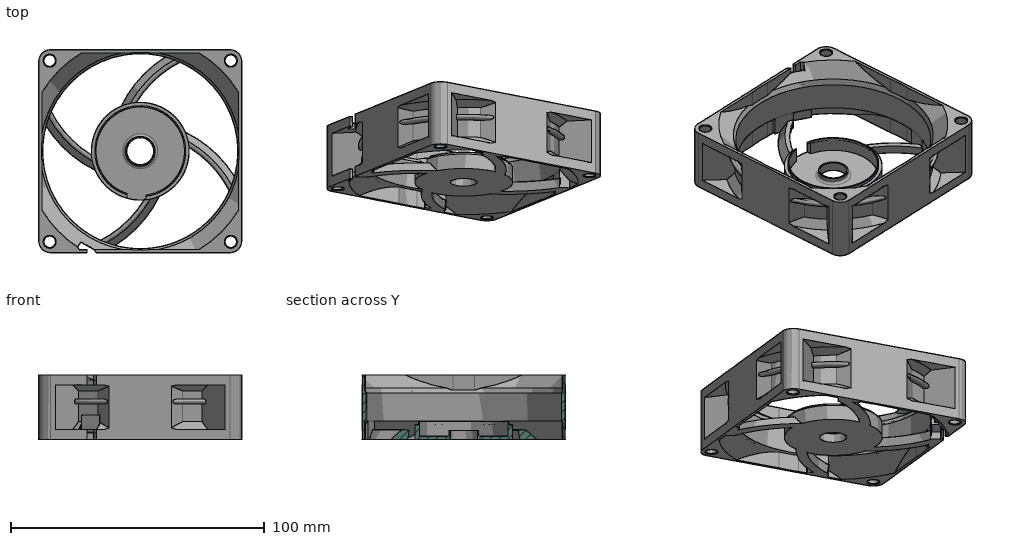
import cadquery as cq
import math

SIDE = 80.0
HEIGHT = 25.5
HALF = SIDE / 2
CORNER_RADIUS = 4.6
SCREW_OFFSET = 35.7
SCREW_RADIUS = 2.2
SCREW_CHAMFER = 0.3

BORE_RADIUS = 38.4
THROAT_RADIUS = 39.4
FLARE_RADIUS = 45.1
TOP_FLARE_DEPTH = 5.1
THROAT_DEPTH = 7.2
BOTTOM_FLARE_HEIGHT = 7.4
SIDE_WALL = 1.3
DUCT_HALF = HALF - SIDE_WALL
WALL_RELIEF_RADIUS = 39.0

FLANGE = 4.0
TUBE_RADIUS = 39.4
TUBE_FLARE_RADIUS = 42.5
TUBE_FLARE_TOP = 6.3
TUBE_FLARE_BOTTOM = 7.0
SIDE_COUNT = 4
POCKET_OUTER = 33.4
POCKET_INNER = 12.3
RIB_RADIUS = 41.5
RIB_THICKNESS = 2.0
RIB_Z = 15.0

HUB_RADIUS = 19.3
HUB_RIM_HEIGHT = 5.9
HUB_FLOOR = 1.4
HUB_BORE_RADIUS = 17.4
HUB_LIP_RADIUS = 17.9
HUB_LIP_HEIGHT = 7.1
HUB_GAP_LEFT = -5.3
HUB_GAP_RIGHT = 2.2
COLLAR_BASE_RADIUS = 6.9
COLLAR_RADIUS = 5.8
COLLAR_HEIGHT = 3.7
SHAFT_RADIUS = 5.3

STRUT_COUNT = 4
STRUT_CENTER_X = 35.0
STRUT_CENTER_Y = -3.0
STRUT_ARC_RADIUS = 44.6
STRUT_RIDGE_Z = 3.8
STRUT_CREST_Z = 4.0
STRUT_OUTER_REACH = 2.7
STRUT_NOSE_REACH = 1.9
STRUT_FOOT_REACH = 1.5
STRUT_NOSE_Z = 3.6
STRUT_START = 100.0
STRUT_SWEEP = 70.0
STRUT_EMBED = 0.3
ROOT_START = 66.0
ROOT_SWEEP = 12.6

SLOT_LEFT = -21.0
SLOT_RIGHT = -17.3
SLOT_BEND_X = -18.3
SLOT_TIP_X = -23.4
SLOT_END_X = -24.6
SLOT_END_Y = -37.6
SLOT_HEEL_X = -24.1
TONGUE = 1.2
SLOT_FACE_DISTANCE = 42.7
SLOT_FACE_ANGLE = -29.5
TAB_DISTANCE = 40.2
TAB_CENTER_X = -19.7
TAB_WIDTH = 8.2
TAB_TOP = 9.6
TAB_SETBACK = 0.4
SHELF_BOTTOM = 3.0


def revolved(points):
    """Solid of revolution about Z from (radius, height) points."""
    return cq.Workplane("XZ").polyline(points).close().revolve(360, (0, 0, 0), (0, 1, 0))


def around_axis(body, count):
    """Copies of a body spaced evenly about Z."""
    pattern = body
    for index in range(1, count):
        pattern = pattern.union(body.rotate((0, 0, 0), (0, 0, 1), 360 / count * index))
    return pattern


def strut_roots():
    """Sectors that stay solid in the bottom flare behind the outer ends of the struts."""
    sector = (
        cq.Workplane("XZ")
        .moveTo(BORE_RADIUS, 0)
        .lineTo(FLARE_RADIUS, 0)
        .lineTo(FLARE_RADIUS, BOTTOM_FLARE_HEIGHT)
        .lineTo(BORE_RADIUS, BOTTOM_FLARE_HEIGHT)
        .close()
        .revolve(ROOT_SWEEP, (0, 0, 0), (0, 1, 0))
        .rotate((0, 0, 0), (0, 0, 1), ROOT_START)
    )
    return around_axis(sector, STRUT_COUNT)


def duct():
    """Air passage, its four flat walls hollowed slightly at mid-length."""
    flared = revolved([
        (0, 0),
        (FLARE_RADIUS, 0),
        (BORE_RADIUS, BOTTOM_FLARE_HEIGHT),
        (BORE_RADIUS, HEIGHT - THROAT_DEPTH),
        (THROAT_RADIUS, HEIGHT - TOP_FLARE_DEPTH),
        (FLARE_RADIUS, HEIGHT),
        (0, HEIGHT),
    ])
    clip = cq.Workplane("XY").box(2 * DUCT_HALF, 2 * DUCT_HALF, HEIGHT, centered=(True, True, False))
    relief = cq.Workplane("XY").circle(WALL_RELIEF_RADIUS).extrude(HEIGHT)
    return flared.intersect(clip.union(relief)).cut(strut_roots())


def tube():
    """Solid envelope that the pockets leave standing around the duct."""
    body = revolved([
        (0, FLANGE),
        (TUBE_FLARE_RADIUS, FLANGE),
        (TUBE_RADIUS, TUBE_FLARE_BOTTOM),
        (TUBE_RADIUS, HEIGHT - TUBE_FLARE_TOP),
        (TUBE_FLARE_RADIUS, HEIGHT - FLANGE),
        (0, HEIGHT - FLANGE),
    ])
    edge = RIB_RADIUS - RIB_THICKNESS / 2
    rib = cq.Workplane("XY").workplane(offset=RIB_Z - RIB_THICKNESS / 2).circle(edge).extrude(RIB_THICKNESS)
    rim = cq.Workplane("XZ").center(edge, RIB_Z).circle(RIB_THICKNESS / 2)
    rim = rim.revolve(360, (-edge, 0, 0), (-edge, 1, 0))
    return body.union(rib).union(rim)


def pockets():
    """Two mirrored triangular pockets in every side, their walls at 45 degrees to it."""
    half_width = (POCKET_OUTER - POCKET_INNER) / 2
    left = (
        cq.Workplane("XY")
        .workplane(offset=FLANGE)
        .polyline([
            (-POCKET_OUTER, -HALF),
            (-POCKET_INNER, -HALF),
            (-POCKET_INNER - half_width, -HALF + half_width),
        ])
        .close()
        .extrude(HEIGHT - 2 * FLANGE)
    )
    pair = left.union(left.mirror("YZ"))
    return around_axis(pair, SIDE_COUNT).cut(tube())


def frame():
    """Square housing with the duct, the side pockets and the corner screw holes."""
    body = cq.Workplane("XY").box(SIDE, SIDE, HEIGHT, centered=(True, True, False))
    body = body.edges("|Z").fillet(CORNER_RADIUS)
    screws = cq.Workplane("XY").rect(2 * SCREW_OFFSET, 2 * SCREW_OFFSET, forConstruction=True).vertices()
    hole = revolved([
        (0, 0),
        (SCREW_RADIUS + SCREW_CHAMFER, 0),
        (SCREW_RADIUS, SCREW_CHAMFER),
        (SCREW_RADIUS, HEIGHT - SCREW_CHAMFER),
        (SCREW_RADIUS + SCREW_CHAMFER, HEIGHT),
        (0, HEIGHT),
    ])
    holes = screws.eachpoint(hole.val(), combine=False)
    return body.cut(duct()).cut(pockets()).cut(holes)


def slot_box(near, far, width, bottom, top):
    """Box turned to face the cable slot, between two distances from the duct axis."""
    angle = math.radians(SLOT_FACE_ANGLE)
    normal = (math.sin(angle), -math.cos(angle))
    slide = (TAB_CENTER_X - TAB_DISTANCE * normal[0]) / math.cos(angle)
    box = cq.Workplane("XY").box(width, far - near, top - bottom, centered=(True, True, False))
    box = box.translate((slide, -(near + far) / 2, bottom))
    return box.rotate((0, 0, 0), (0, 0, 1), SLOT_FACE_ANGLE)


def cable_tab():
    """Flat-faced block against the duct tube, with a shelf in front that closes the flare."""
    near = BORE_RADIUS + TAB_SETBACK
    block = slot_box(near, TAB_DISTANCE, TAB_WIDTH, SHELF_BOTTOM, TAB_TOP)
    shelf = slot_box(near, SLOT_FACE_DISTANCE, TAB_WIDTH, SHELF_BOTTOM, FLANGE)
    return block.union(shelf)


def cable_slot():
    """Hooked slot through both flanges that leaves a thin tongue in the outer wall."""
    angle = math.radians(SLOT_FACE_ANGLE)

    def face_y(x):
        return (x * math.sin(angle) - SLOT_FACE_DISTANCE) / math.cos(angle)

    return (
        cq.Workplane("XY")
        .polyline([
            (SLOT_RIGHT, -HALF),
            (SLOT_BEND_X, face_y(SLOT_BEND_X)),
            (SLOT_TIP_X, face_y(SLOT_TIP_X)),
            (SLOT_END_X, SLOT_END_Y),
            (SLOT_HEEL_X, -HALF + TONGUE),
            (SLOT_LEFT, -HALF + TONGUE),
            (SLOT_LEFT, -HALF),
        ])
        .close()
        .extrude(HEIGHT)
    )


def hub():
    """Shallow cup with a raised inner lip, a wire gap and a raised collar round the shaft hole."""
    cup = revolved([
        (SHAFT_RADIUS, 0),
        (HUB_RADIUS, 0),
        (HUB_RADIUS, HUB_RIM_HEIGHT),
        (HUB_LIP_RADIUS, HUB_RIM_HEIGHT),
        (HUB_LIP_RADIUS, HUB_LIP_HEIGHT),
        (HUB_BORE_RADIUS, HUB_LIP_HEIGHT),
        (HUB_BORE_RADIUS, HUB_FLOOR),
        (SHAFT_RADIUS, HUB_FLOOR),
    ])
    cove = COLLAR_BASE_RADIUS - COLLAR_RADIUS
    collar = (
        cq.Workplane("XZ")
        .moveTo(SHAFT_RADIUS, 0)
        .lineTo(COLLAR_BASE_RADIUS, 0)
        .lineTo(COLLAR_BASE_RADIUS, HUB_FLOOR)
        .radiusArc((COLLAR_RADIUS, HUB_FLOOR + cove), cove)
        .lineTo(COLLAR_RADIUS, COLLAR_HEIGHT)
        .lineTo(SHAFT_RADIUS, COLLAR_HEIGHT)
        .close()
        .revolve(360, (0, 0, 0), (0, 1, 0))
    )
    gap = (
        cq.Workplane("XY")
        .workplane(offset=HUB_FLOOR)
        .center((HUB_GAP_LEFT + HUB_GAP_RIGHT) / 2, -HUB_RADIUS)
        .rect(HUB_GAP_RIGHT - HUB_GAP_LEFT, HUB_RADIUS)
        .extrude(HUB_LIP_HEIGHT)
    )
    return cup.cut(gap).union(collar)


def struts():
    """Curved blades from the hub to the duct wall."""
    blade = (
        cq.Workplane("XZ")
        .moveTo(STRUT_ARC_RADIUS + STRUT_OUTER_REACH, 0)
        .lineTo(STRUT_ARC_RADIUS, STRUT_RIDGE_Z)
        .threePointArc(
            (STRUT_ARC_RADIUS - STRUT_NOSE_REACH / 2, STRUT_CREST_Z),
            (STRUT_ARC_RADIUS - STRUT_NOSE_REACH, STRUT_NOSE_Z),
        )
        .lineTo(STRUT_ARC_RADIUS - STRUT_FOOT_REACH, 0)
        .close()
        .revolve(STRUT_SWEEP, (0, 0, 0), (0, 1, 0))
        .rotate((0, 0, 0), (0, 0, 1), STRUT_START)
        .translate((STRUT_CENTER_X, STRUT_CENTER_Y, 0))
    )
    reach = cq.Workplane("XY").circle(BORE_RADIUS + STRUT_EMBED).extrude(HEIGHT)
    core = cq.Workplane("XY").circle(HUB_RADIUS - STRUT_EMBED).extrude(HEIGHT)
    return around_axis(blade.intersect(reach).cut(core), STRUT_COUNT)


shelf_cut = slot_box(TAB_DISTANCE, SLOT_FACE_DISTANCE, TAB_WIDTH, FLANGE, TAB_TOP)
housing = frame().cut(shelf_cut).cut(cable_slot()).union(cable_tab())
result = housing.union(hub()).union(struts())